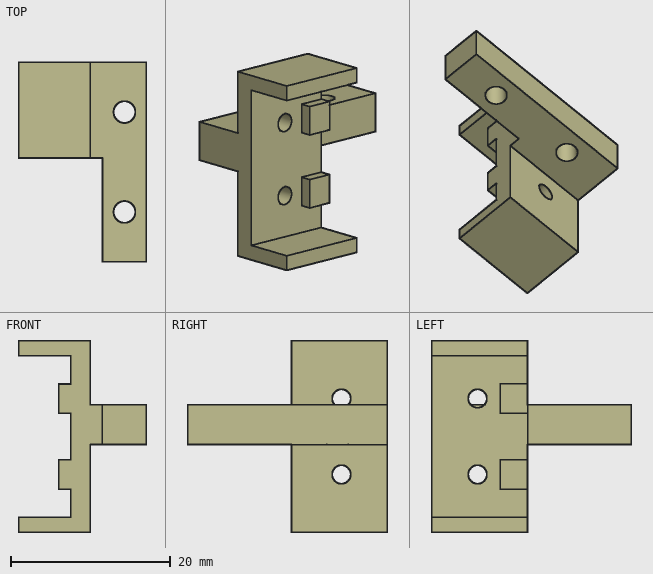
import cadquery as cq

channel_height = 24.0
channel_depth = 9.0
channel_length = 12.0
web_thickness = 2.5
flange_thickness = 1.9

pair_spacing = 9.5
tab_projection = 1.5
tab_length = 3.4
tab_height = 3.7
cross_hole_diameter = 2.3
cross_hole_inset = 6.25

arm_width = 5.5
arm_length = 25.0
arm_height = 5.0
arm_bottom = 11.0
spacer_thickness = 1.5
arm_hole_diameter = 2.7
arm_hole_spacing = 12.5

web_face = channel_depth - web_thickness
channel_front = arm_length - channel_length
arm_start = channel_depth + spacer_thickness
mid_height = channel_height / 2
pair_heights = [mid_height - pair_spacing / 2, mid_height + pair_spacing / 2]
arm_hole_positions = [
    (arm_length - arm_hole_spacing) / 2,
    (arm_length + arm_hole_spacing) / 2,
]


def block(corner, size):
    """Box given by its lowest X, Y, Z corner and its size."""
    return cq.Workplane("XY").box(*size, centered=False).translate(corner)


def make_channel():
    body = block(
        (0, channel_front, 0),
        (channel_depth, channel_length, channel_height),
    )
    opening = block(
        (0, channel_front, flange_thickness),
        (web_face, channel_length, channel_height - 2 * flange_thickness),
    )
    return body.cut(opening)


def make_tab(height):
    return block(
        (web_face - tab_projection, channel_front, height - tab_height / 2),
        (tab_projection, tab_length, tab_height),
    )


def make_cross_hole(height):
    """Cutter along X through the web only."""
    return (
        cq.Workplane("YZ", origin=(web_face, channel_front + cross_hole_inset, height))
        .circle(cross_hole_diameter / 2)
        .extrude(web_thickness)
    )


def make_arm():
    spacer = block(
        (channel_depth, channel_front, arm_bottom),
        (spacer_thickness, channel_length, arm_height),
    )
    bar = block(
        (arm_start, 0, arm_bottom),
        (arm_width, arm_length, arm_height),
    )
    return bar.union(spacer)


def make_arm_hole(position):
    """Cutter along Z through the arm."""
    return (
        cq.Workplane("XY", origin=(arm_start + arm_width / 2, position, arm_bottom))
        .circle(arm_hole_diameter / 2)
        .extrude(arm_height)
    )


channel = make_channel()
for pair_height in pair_heights:
    channel = channel.union(make_tab(pair_height)).cut(make_cross_hole(pair_height))

arm = make_arm()
for hole_position in arm_hole_positions:
    arm = arm.cut(make_arm_hole(hole_position))

result = channel.union(arm)